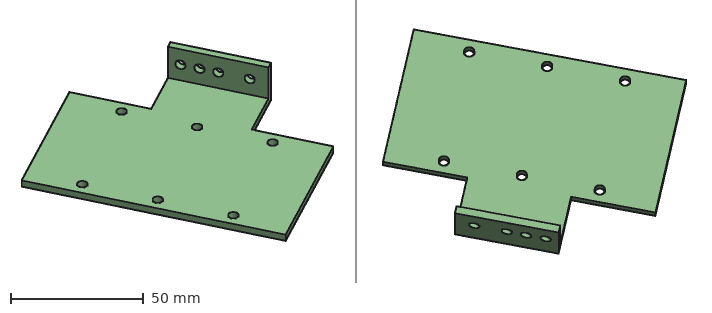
import cadquery as cq

plate_length = 105.0
total_depth = 80.0
total_height = 18.0
thickness = 3.0

plate_depth = 57.0
tab_width = 40.0

hole_diameter = 4.0
plate_hole_spacing = 30.0
plate_hole_edge = 5.0
flange_hole_offsets = (-15.0, -7.5, 0.0, 12.5)
flange_hole_height = (thickness + total_height) / 2


def corner_box(width, depth, height):
    """Box centred in X, with its front lower edge on the X axis."""
    return cq.Workplane("XY").box(width, depth, height, centered=(True, False, False))


plate = corner_box(plate_length, plate_depth, thickness)
tab = corner_box(tab_width, total_depth, thickness)
flange = corner_box(tab_width, thickness, total_height).translate((0, total_depth - thickness, 0))
bracket = plate.union(tab).union(flange)

plate_hole_points = [
    (column * plate_hole_spacing, y)
    for column in (-1, 0, 1)
    for y in (plate_hole_edge, plate_depth - plate_hole_edge)
]
plate_holes = (
    cq.Workplane("XY")
    .pushPoints(plate_hole_points)
    .circle(hole_diameter / 2)
    .extrude(thickness)
)

flange_holes = (
    cq.Workplane("XZ", origin=(0, total_depth, 0))
    .pushPoints([(x, flange_hole_height) for x in flange_hole_offsets])
    .circle(hole_diameter / 2)
    .extrude(thickness)
)

result = bracket.cut(plate_holes).cut(flange_holes)